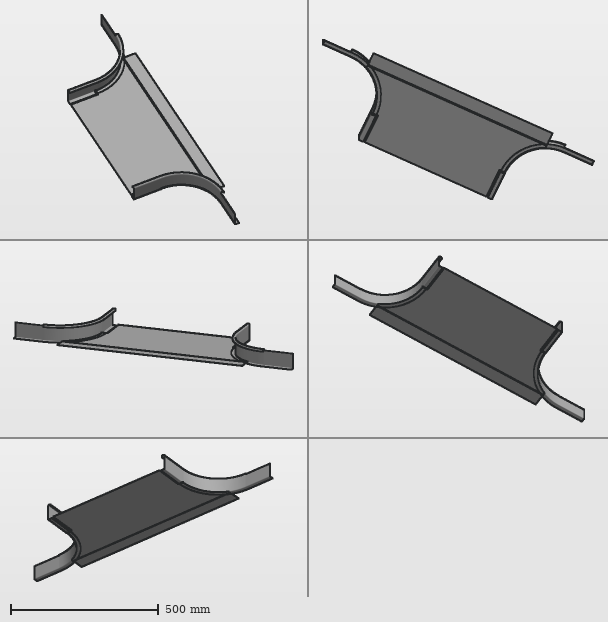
import cadquery as cq

TRAY_LENGTH = 1010.0
BRANCH_WIDTH = 500.0
ARM_LENGTH = 105.0
OVERALL_HEIGHT = 62.0
BRANCH_HALF_WIDTH = BRANCH_WIDTH / 2
ARM_START_X = TRAY_LENGTH / 2 - ARM_LENGTH
BEND_RADIUS = ARM_START_X - BRANCH_HALF_WIDTH
ARM_WALL_Y = ARM_LENGTH + BEND_RADIUS

RAIL_SHEET = 1.6
FLANGE_WIDTH = 16.0
FLANGE_BEND = 3.0
LIP_RADIUS = 6.3
LIP_DROP = 2.0
RELIEF_GAP = 4.0

LOWERED_FLANGE_Z = 0
RAISED_FLANGE_Z = LOWERED_FLANGE_Z + RAIL_SHEET
PLATE_Z = RAISED_FLANGE_Z + RAIL_SHEET
WALL_TOP_Z = OVERALL_HEIGHT - LIP_RADIUS

PLATE_SHEET = 1.8
PLATE_LENGTH = 673.0
PLATE_DEPTH = 300.0
BRANCH_PLATE_WIDTH = 457.0
STEP_START_Y = 251.0
STEP_RUN = 3.0


def wall_section(plane, flange_z):
    """Upright wall standing on the bend of a flange at the given height."""
    bottom_z = flange_z + FLANGE_BEND
    return (
        cq.Workplane(plane)
        .moveTo(0, bottom_z)
        .lineTo(RAIL_SHEET, bottom_z)
        .lineTo(RAIL_SHEET, WALL_TOP_Z)
        .lineTo(0, WALL_TOP_Z)
        .close()
    )


def flange_section(plane, bottom_z):
    """Flange with the rounded bend that joins it to the wall."""
    inner_bend = FLANGE_BEND - RAIL_SHEET
    bend_z = bottom_z + FLANGE_BEND
    return (
        cq.Workplane(plane)
        .moveTo(0, bend_z)
        .radiusArc((FLANGE_BEND, bottom_z), -FLANGE_BEND)
        .lineTo(FLANGE_WIDTH, bottom_z)
        .lineTo(FLANGE_WIDTH, bottom_z + RAIL_SHEET)
        .lineTo(FLANGE_BEND, bottom_z + RAIL_SHEET)
        .radiusArc((RAIL_SHEET, bend_z), inner_bend)
        .close()
    )


def lip_section(plane):
    """Half-round lip curling inward from the wall's upper edge."""
    lip_width = 2 * LIP_RADIUS
    inner_radius = LIP_RADIUS - RAIL_SHEET
    edge_z = WALL_TOP_Z - LIP_DROP
    return (
        cq.Workplane(plane)
        .moveTo(0, WALL_TOP_Z)
        .threePointArc((LIP_RADIUS, OVERALL_HEIGHT), (lip_width, WALL_TOP_Z))
        .lineTo(lip_width, edge_z)
        .lineTo(lip_width - RAIL_SHEET, edge_z)
        .lineTo(lip_width - RAIL_SHEET, WALL_TOP_Z)
        .threePointArc((LIP_RADIUS, WALL_TOP_Z + inner_radius), (RAIL_SHEET, WALL_TOP_Z))
        .close()
    )


def branch_plane(y):
    """Section plane across the branch wall, extruding toward -Y."""
    return cq.Plane(origin=(-BRANCH_HALF_WIDTH, y, 0), xDir=(1, 0, 0), normal=(0, -1, 0))


def branch_stretch():
    """Straight stretch along the branch; its flange is lowered and stops short of the curve."""
    lowered_length = ARM_LENGTH - RELIEF_GAP
    wall = wall_section(branch_plane(ARM_LENGTH), LOWERED_FLANGE_Z).extrude(ARM_LENGTH)
    lip = lip_section(branch_plane(ARM_LENGTH)).extrude(ARM_LENGTH)
    flange = flange_section(branch_plane(lowered_length), LOWERED_FLANGE_Z).extrude(lowered_length)
    return wall.union(lip).union(flange)


def curved_stretch():
    """Quarter turn from the branch to the side arm."""
    plane = branch_plane(ARM_LENGTH)
    axis = ((-BEND_RADIUS, 0), (-BEND_RADIUS, 1))
    wall = wall_section(plane, RAISED_FLANGE_Z).revolve(90, *axis)
    lip = lip_section(plane).revolve(90, *axis)
    flange = flange_section(plane, RAISED_FLANGE_Z).revolve(90, *axis)
    return wall.union(lip).union(flange)


def arm_stretch():
    """Straight side arm along X, with a raised flange and no lip."""
    plane = cq.Plane(origin=(-TRAY_LENGTH / 2, ARM_WALL_Y, 0), xDir=(0, 1, 0), normal=(1, 0, 0))
    wall = wall_section(plane, RAISED_FLANGE_Z).extrude(ARM_LENGTH)
    flange = flange_section(plane, RAISED_FLANGE_Z).extrude(ARM_LENGTH)
    return wall.union(flange)


def side_rail():
    """Rail on the -X side."""
    return branch_stretch().union(curved_stretch()).union(arm_stretch())


def floor_plate():
    """Flat plate on the raised flanges, with a back strip stepped up by one sheet."""
    step_end_y = STEP_START_Y + STEP_RUN
    raised_z = PLATE_Z + PLATE_SHEET
    half_length = PLATE_LENGTH / 2
    plate = (
        cq.Workplane("YZ", origin=(-half_length, 0, 0))
        .moveTo(0, PLATE_Z)
        .lineTo(STEP_START_Y, PLATE_Z)
        .lineTo(step_end_y, raised_z)
        .lineTo(PLATE_DEPTH, raised_z)
        .lineTo(PLATE_DEPTH, raised_z + PLATE_SHEET)
        .lineTo(step_end_y, raised_z + PLATE_SHEET)
        .lineTo(STEP_START_Y, raised_z)
        .lineTo(0, raised_z)
        .close()
        .extrude(PLATE_LENGTH)
    )
    side_width = half_length - BRANCH_PLATE_WIDTH / 2
    curve_clearance = BEND_RADIUS + FLANGE_BEND
    for side in (-1, 1):
        branch_side = (
            cq.Workplane("XY")
            .center(side * (half_length - side_width / 2), ARM_LENGTH / 2)
            .rect(side_width, ARM_LENGTH)
            .extrude(OVERALL_HEIGHT)
        )
        curve_side = (
            cq.Workplane("XY")
            .center(side * ARM_START_X, ARM_LENGTH)
            .circle(curve_clearance)
            .extrude(OVERALL_HEIGHT)
        )
        plate = plate.cut(branch_side).cut(curve_side)
    return plate


plate = floor_plate()
left_rail = side_rail()
right_rail = left_rail.mirror("YZ")

result = cq.Compound.makeCompound([plate.val(), left_rail.val(), right_rail.val()])